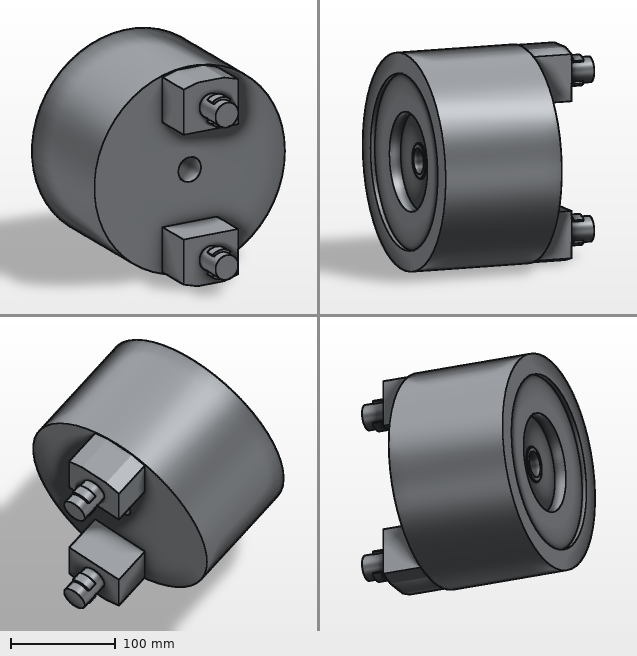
import cadquery as cq
import math

drum_diameter = 210.0
drum_length = 120.0
outer_recess_diameter = 170.0
outer_recess_depth = 4.5
inner_recess_diameter = 96.0
inner_recess_depth = 16.0
bore_diameter = 25.0

collar_diameter = 35.0
collar_height = 1.0
collar_taper = 45.0

housing_length = 40.5
housing_width = 60.0
housing_inner_height = 53.1
housing_shoulder_height = 99.0
housing_outer_height = 103.3
housing_flat_width = 29.0

plug_diameter = 25.0
plug_end = 191.0
plug_height = 77.3
lug_diameter = 30.0
lug_length = 10.0
lug_offset = 10.5
lug_half_angle = 42.0

housing_end = drum_length + housing_length


def disc(diameter, start, end, height=0.0):
    """Cylinder along X between two stations, with its axis at the given Z."""
    plane = cq.Workplane("YZ", origin=(start, 0, height))
    return plane.circle(diameter / 2).extrude(end - start)


def make_drum():
    drum = disc(drum_diameter, 0, drum_length)
    drum = drum.cut(disc(outer_recess_diameter, 0, outer_recess_depth))
    drum = drum.cut(disc(inner_recess_diameter, 0, inner_recess_depth))
    recess_floor = cq.Workplane("YZ", origin=(inner_recess_depth, 0, 0))
    collar = recess_floor.circle(collar_diameter / 2).extrude(-collar_height, taper=collar_taper)
    return drum.union(collar).cut(disc(bore_diameter, 0, drum_length))


def make_housing():
    half_width = housing_width / 2
    half_flat = housing_flat_width / 2
    outline = [
        (-half_width, housing_inner_height),
        (half_width, housing_inner_height),
        (half_width, housing_shoulder_height),
        (half_flat, housing_outer_height),
        (-half_flat, housing_outer_height),
        (-half_width, housing_shoulder_height),
    ]
    plane = cq.Workplane("YZ", origin=(drum_length, 0, 0))
    return plane.polyline(outline).close().extrude(housing_length)


def make_lugs():
    """Two opposite ring sectors, centred above and below the plug axis."""
    lug_start = housing_end + lug_offset
    ring = disc(lug_diameter, lug_start, lug_start + lug_length, plug_height)
    reach = lug_diameter
    spread = reach * math.tan(math.radians(lug_half_angle))
    plane = cq.Workplane("YZ", origin=(lug_start, 0, plug_height))
    sectors = plane.polyline([(0, 0), (spread, reach), (-spread, reach)]).close().extrude(lug_length)
    sectors = sectors.union(sectors.rotate((0, 0, plug_height), (1, 0, plug_height), 180))
    return ring.intersect(sectors)


def make_connector():
    plug = disc(plug_diameter, housing_end, plug_end, plug_height)
    return make_housing().union(plug).union(make_lugs())


connector = make_connector()
result = make_drum().union(connector).union(connector.mirror("XY"))